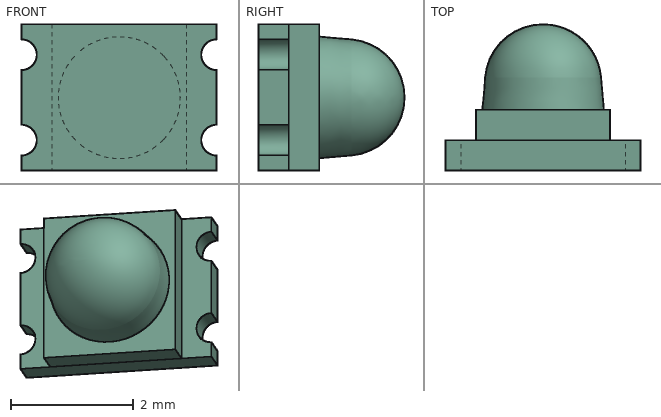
import cadquery as cq
import math

BOARD_WIDTH = 3.2
BOARD_HEIGHT = 2.4
BOARD_THICKNESS = 0.5

PAD_WIDTH = 0.6
PAD_HEIGHT = 0.8
PAD_PITCH = 1.4
NOTCH_RADIUS = 0.25

BLOCK_WIDTH = 2.2
BLOCK_DEPTH = 0.5
DOME_BASE_RADIUS = 1.0
DOME_HEIGHT = 1.4
DRAFT_ANGLE = math.radians(5)

CAP_RADIUS = (DOME_BASE_RADIUS - DOME_HEIGHT * math.tan(DRAFT_ANGLE)) / (
    1 / math.cos(DRAFT_ANGLE) - math.tan(DRAFT_ANGLE)
)

PAD_SIDES = (-1, 1)
PAD_ROWS = (-PAD_PITCH / 2, PAD_PITCH / 2)


def block_along_y(width, depth, height, y_start):
    """Box centred on X and Z that grows toward +Y from y_start."""
    return cq.Workplane("XY").box(width, depth, height).translate((0, y_start + depth / 2, 0))


def make_notches():
    """Round cutters along Y, centred on the two side edges of the board."""
    centers = [(side * BOARD_WIDTH / 2, row) for side in PAD_SIDES for row in PAD_ROWS]
    return cq.Workplane("XZ").pushPoints(centers).circle(NOTCH_RADIUS).extrude(-BOARD_THICKNESS)


def make_pad(side, row):
    """Notched pad region through the board thickness, flush with the board faces."""
    pad = block_along_y(PAD_WIDTH, BOARD_THICKNESS, PAD_HEIGHT, 0)
    return pad.translate((side * (BOARD_WIDTH - PAD_WIDTH) / 2, 0, row)).cut(make_notches())


def make_board():
    """Board and pads as one solid; the pad outlines stay as edges on its faces."""
    board = block_along_y(BOARD_WIDTH, BOARD_THICKNESS, BOARD_HEIGHT, 0).cut(make_notches())
    for side in PAD_SIDES:
        for row in PAD_ROWS:
            board = board.union(make_pad(side, row), clean=False)
    return board.solids()


def make_dome(y_base):
    """Tapered skirt and spherical cap, revolved about the Y axis."""
    cap_center = y_base + DOME_HEIGHT - CAP_RADIUS
    mid_angle = (DRAFT_ANGLE + math.pi / 2) / 2

    def cap_point(angle):
        return (CAP_RADIUS * math.cos(angle), cap_center + CAP_RADIUS * math.sin(angle))

    profile = (
        cq.Workplane("XY")
        .moveTo(0, y_base)
        .lineTo(DOME_BASE_RADIUS, y_base)
        .lineTo(*cap_point(DRAFT_ANGLE))
        .threePointArc(cap_point(mid_angle), (0, y_base + DOME_HEIGHT))
        .close()
    )
    return profile.revolve(360, (0, 0, 0), (0, 1, 0))


def make_lens():
    """Lens block on the back of the board, joined with its dome."""
    block = block_along_y(BLOCK_WIDTH, BLOCK_DEPTH, BOARD_HEIGHT, BOARD_THICKNESS)
    return block.union(make_dome(BOARD_THICKNESS + BLOCK_DEPTH)).solids()


board = make_board()
lens = make_lens()

result = cq.Compound.makeCompound([board.val(), lens.val()])